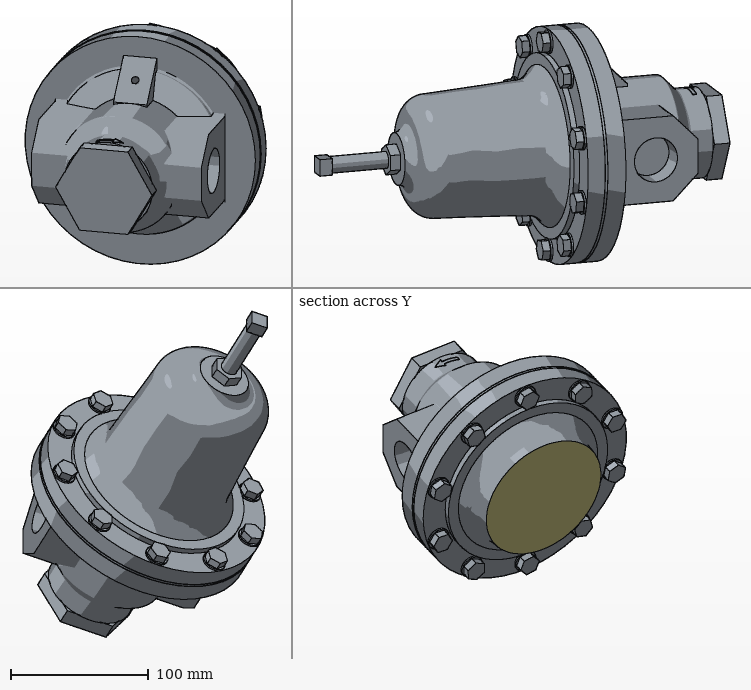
import cadquery as cq
import math


CAP_FLATS = 63.0
CAP_LENGTH = 12.0
NECK_RADIUS = 33.4
NECK_END = 29.2
NECK_FILLET = 2.2

ARROW_Y = 18.2
ARROW_TAIL_X = -10.4
ARROW_BARB_X = 2.5
ARROW_TIP_X = 9.6
ARROW_SHAFT_HALF = 1.5
ARROW_HEAD_HALF = 3.7
ARROW_DEPTH = 0.4

BODY_RADIUS = 44.5
SHOULDER_Y = NECK_END + BODY_RADIUS - NECK_RADIUS
SHOULDER_ROUND = 1.5
BASE_RADIUS = 63.0
BASE_EDGE_Y = 93.6
BASE_CONE_Y = 86.8
BASE_EDGE_ROUND = 1.5
FOOT_FILLET = 1.6

BLOCK_HALF_LENGTH = 64.0
BLOCK_HALF_HEIGHT = 32.0
BLOCK_FRONT_Y = 34.3
BLOCK_CHAMFER = 19.0
BLOCK_EDGE_ROUND = 1.5
BLOCK_JOINT_FILLET = 1.2
PORT_Y = 66.5
PORT_DIAMETER = 33.0
PORT_DEPTH = 17.3
PORT_TAPER = 1.79

LUG_WIDTH = 25.2
LUG_TOP_Z = 71.5
LUG_SLOPE = 27.0
LUG_HOLE_DIAMETER = 5.6
LUG_HOLE_DEPTH = 10.0
LUG_HOLE_Z = LUG_TOP_Z - LUG_SLOPE / 2

FLANGE_RADIUS = 173.69 / 2
FLANGE_FRONT_Y = 97.4
BODY_FLANGE_THICKNESS = 13.8
DIAPHRAGM_THICKNESS = 2.0
DIAPHRAGM_INSET = 0.3
BONNET_FLANGE_THICKNESS = 13.2
DIAPHRAGM_Y = FLANGE_FRONT_Y + BODY_FLANGE_THICKNESS
BONNET_FLANGE_Y = DIAPHRAGM_Y + DIAPHRAGM_THICKNESS
FLANGE_BACK_Y = BONNET_FLANGE_Y + BONNET_FLANGE_THICKNESS

BOLT_COUNT = 10
BOLT_CIRCLE_RADIUS = 78.0
BOLT_HEAD_CORNERS = 16.0
BOLT_HEAD_TURN = 22.0
BOLT_HEAD_HEIGHT = 5.8
WASHER_RADIUS = 8.6
WASHER_THICKNESS = 1.4

RIM_RADIUS = 68.0
RIM_TOP_Y = FLANGE_BACK_Y + 4.4
FLARE_RADIUS = 59.5
BARREL_BOTTOM_RADIUS = 49.6
BARREL_BOTTOM_Y = 145.5
BARREL_TOP_RADIUS = 45.5
BARREL_TOP_Y = 218.2
CROWN_Y = 235.0
CROWN_ROUND = CROWN_Y - BARREL_TOP_Y
NIPPLE_RADIUS = 19.3
NIPPLE_TOP_Y = 243.7

LOCKNUT_FLATS = 19.6
LOCKNUT_END_Y = 251.7
SCREW_DIAMETER = 12.4
SCREW_SQUARE_LENGTH = 9.6
TOTAL_LENGTH = 304.48


def section(y):
    """Workplane across the axis at height y; extruding goes toward +Y, local (x, y) is (X, -Z)."""
    return cq.Workplane(cq.Plane(origin=(0, y, 0), xDir=(1, 0, 0), normal=(0, 1, 0)))


def disc(radius, y, thickness):
    return section(y).circle(radius).extrude(thickness)


def spin(profile):
    """Revolve an (X, Y) half profile around the Y axis."""
    return profile.close().revolve(360, (0, 0, 0), (0, 1, 0))


def ring_at(y):
    """Selector for the circular edge centered on the axis at height y."""
    reach = 0.5
    return cq.selectors.BoxSelector((-reach, y - reach, -reach), (reach, y + reach, reach))


def quarter_mid(center_x, center_y, radius, sign_x, sign_y):
    """Middle point of a quarter arc lying toward the given signs from its center."""
    reach = radius * math.sqrt(0.5)
    return (center_x + sign_x * reach, center_y + sign_y * reach)


def corners_across(flats):
    return flats / math.cos(math.radians(30))


def make_cap():
    return section(0).polygon(6, corners_across(CAP_FLATS)).extrude(CAP_LENGTH)


def make_neck_and_body():
    profile = (
        cq.Workplane("XY")
        .moveTo(0, CAP_LENGTH)
        .lineTo(NECK_RADIUS, CAP_LENGTH)
        .lineTo(NECK_RADIUS, NECK_END)
        .lineTo(BODY_RADIUS, SHOULDER_Y)
        .lineTo(BODY_RADIUS, FLANGE_FRONT_Y)
        .lineTo(0, FLANGE_FRONT_Y)
    )
    body = spin(profile)
    body = body.edges(ring_at(SHOULDER_Y)).fillet(SHOULDER_ROUND)
    return body.edges(ring_at(NECK_END)).fillet(NECK_FILLET)


def make_base():
    foot_y = FLANGE_FRONT_Y - FOOT_FILLET
    foot_radius = BASE_RADIUS + FOOT_FILLET
    profile = (
        cq.Workplane("XY")
        .moveTo(0, BASE_CONE_Y)
        .lineTo(BODY_RADIUS, BASE_CONE_Y)
        .lineTo(BASE_RADIUS, BASE_EDGE_Y)
        .lineTo(BASE_RADIUS, foot_y)
        .threePointArc(
            quarter_mid(foot_radius, foot_y, FOOT_FILLET, -1, 1),
            (foot_radius, FLANGE_FRONT_Y),
        )
        .lineTo(0, FLANGE_FRONT_Y)
    )
    return spin(profile).edges(ring_at(BASE_EDGE_Y)).fillet(BASE_EDGE_ROUND)


def make_port_block():
    front_half = BLOCK_HALF_HEIGHT - BLOCK_CHAMFER
    chamfer_y = BLOCK_FRONT_Y + BLOCK_CHAMFER
    foot_y = FLANGE_FRONT_Y - FOOT_FILLET
    foot_z = BLOCK_HALF_HEIGHT + FOOT_FILLET
    upper_mid = quarter_mid(foot_y, foot_z, FOOT_FILLET, 1, -1)
    lower_mid = (upper_mid[0], -upper_mid[1])
    block = (
        cq.Workplane("YZ")
        .moveTo(BLOCK_FRONT_Y, -front_half)
        .lineTo(BLOCK_FRONT_Y, front_half)
        .lineTo(chamfer_y, BLOCK_HALF_HEIGHT)
        .lineTo(foot_y, BLOCK_HALF_HEIGHT)
        .threePointArc(upper_mid, (FLANGE_FRONT_Y, foot_z))
        .lineTo(FLANGE_FRONT_Y, -foot_z)
        .threePointArc(lower_mid, (foot_y, -BLOCK_HALF_HEIGHT))
        .lineTo(chamfer_y, -BLOCK_HALF_HEIGHT)
        .close()
        .extrude(BLOCK_HALF_LENGTH, both=True)
    )
    chamfer_edges = cq.selectors.BoxSelector(
        (-1, BLOCK_FRONT_Y - 1, -foot_z), (1, chamfer_y + 1, foot_z)
    )
    return block.edges("|X").edges(chamfer_edges).fillet(BLOCK_EDGE_ROUND)


def make_valve_body():
    """Neck, round body and port block, with a fillet where the block meets the straight side of the body."""
    body = make_neck_and_body().union(make_port_block())
    inner_x = math.sqrt(BODY_RADIUS**2 - BLOCK_HALF_HEIGHT**2) - 1
    outer_x = BODY_RADIUS
    for near_x, far_x in ((-outer_x, -inner_x), (inner_x, outer_x)):
        joint = cq.selectors.BoxSelector(
            (near_x, SHOULDER_Y + SHOULDER_ROUND, -BODY_RADIUS), (far_x, FLANGE_FRONT_Y - 1, BODY_RADIUS)
        )
        body = body.edges(joint).fillet(BLOCK_JOINT_FILLET)
    return body


def make_port_hole(side):
    """Blind tapered port bore; side is -1 for the -X end and +1 for the +X end."""
    mouth = cq.Plane(
        origin=(side * BLOCK_HALF_LENGTH, PORT_Y, 0), xDir=(0, 1, 0), normal=(-side, 0, 0)
    )
    return cq.Workplane(mouth).circle(PORT_DIAMETER / 2).extrude(PORT_DEPTH, taper=PORT_TAPER)


def make_lug():
    tip_y = FLANGE_FRONT_Y - LUG_SLOPE
    return (
        cq.Workplane("YZ")
        .moveTo(FLANGE_FRONT_Y, 0)
        .lineTo(FLANGE_FRONT_Y, LUG_TOP_Z)
        .lineTo(tip_y, LUG_TOP_Z - LUG_SLOPE)
        .lineTo(tip_y, 0)
        .close()
        .extrude(LUG_WIDTH / 2, both=True)
    )


def make_lug_hole():
    hole_y = FLANGE_FRONT_Y - LUG_SLOPE / 2
    mouth = cq.Plane(origin=(0, hole_y, LUG_HOLE_Z), xDir=(1, 0, 0), normal=(0, 1, -1))
    return cq.Workplane(mouth).circle(LUG_HOLE_DIAMETER / 2).extrude(LUG_HOLE_DEPTH)


def make_flanges():
    body_flange = disc(FLANGE_RADIUS, FLANGE_FRONT_Y, BODY_FLANGE_THICKNESS)
    diaphragm = disc(FLANGE_RADIUS - DIAPHRAGM_INSET, DIAPHRAGM_Y, DIAPHRAGM_THICKNESS)
    bonnet_flange = disc(FLANGE_RADIUS, BONNET_FLANGE_Y, BONNET_FLANGE_THICKNESS)
    return body_flange.union(diaphragm).union(bonnet_flange)


def make_bonnet():
    crown_center_x = BARREL_TOP_RADIUS - CROWN_ROUND
    nipple_round = NIPPLE_TOP_Y - CROWN_Y
    nipple_center_x = NIPPLE_RADIUS + nipple_round
    barrel_lean = (BARREL_TOP_RADIUS - BARREL_BOTTOM_RADIUS, BARREL_TOP_Y - BARREL_BOTTOM_Y)
    down_barrel = (-barrel_lean[0], -barrel_lean[1])
    profile = (
        cq.Workplane("XY")
        .moveTo(0, NIPPLE_TOP_Y)
        .lineTo(NIPPLE_RADIUS, NIPPLE_TOP_Y)
        .threePointArc(
            quarter_mid(nipple_center_x, NIPPLE_TOP_Y, nipple_round, -1, -1),
            (nipple_center_x, CROWN_Y),
        )
        .lineTo(crown_center_x, CROWN_Y)
        .threePointArc(
            quarter_mid(crown_center_x, BARREL_TOP_Y, CROWN_ROUND, 1, 1),
            (BARREL_TOP_RADIUS, BARREL_TOP_Y),
        )
        .lineTo(BARREL_BOTTOM_RADIUS, BARREL_BOTTOM_Y)
        .spline([(FLARE_RADIUS, RIM_TOP_Y)], tangents=[down_barrel, (1, -1)], includeCurrent=True)
        .lineTo(RIM_RADIUS, RIM_TOP_Y)
        .lineTo(RIM_RADIUS, FLANGE_BACK_Y)
        .lineTo(0, FLANGE_BACK_Y)
    )
    return spin(profile)


def make_bolt():
    """Washer and hex head of the bolt at the top (+Z) of the bolt circle."""
    washer = disc(WASHER_RADIUS, FLANGE_BACK_Y, WASHER_THICKNESS)
    head = (
        section(FLANGE_BACK_Y + WASHER_THICKNESS)
        .transformed(rotate=(0, 0, 90 - BOLT_HEAD_TURN))
        .polygon(6, BOLT_HEAD_CORNERS)
        .extrude(BOLT_HEAD_HEIGHT)
    )
    return washer.union(head).translate((0, 0, BOLT_CIRCLE_RADIUS))


def make_adjusting_screw():
    locknut = (
        section(NIPPLE_TOP_Y)
        .transformed(rotate=(0, 0, 90))
        .polygon(6, corners_across(LOCKNUT_FLATS))
        .extrude(LOCKNUT_END_Y - NIPPLE_TOP_Y)
    )
    square_y = TOTAL_LENGTH - SCREW_SQUARE_LENGTH
    rod = disc(SCREW_DIAMETER / 2, LOCKNUT_END_Y, square_y - LOCKNUT_END_Y)
    square = section(square_y).rect(SCREW_DIAMETER, SCREW_DIAMETER).extrude(SCREW_SQUARE_LENGTH)
    return locknut.union(rod).union(square)


def make_arrow_cut():
    """Arrow-shaped piece of the outermost skin of the neck, pointing toward +X."""
    prism = (
        cq.Workplane("XY")
        .moveTo(ARROW_TAIL_X, ARROW_Y - ARROW_SHAFT_HALF)
        .lineTo(ARROW_BARB_X, ARROW_Y - ARROW_SHAFT_HALF)
        .lineTo(ARROW_BARB_X, ARROW_Y - ARROW_HEAD_HALF)
        .lineTo(ARROW_TIP_X, ARROW_Y)
        .lineTo(ARROW_BARB_X, ARROW_Y + ARROW_HEAD_HALF)
        .lineTo(ARROW_BARB_X, ARROW_Y + ARROW_SHAFT_HALF)
        .lineTo(ARROW_TAIL_X, ARROW_Y + ARROW_SHAFT_HALF)
        .close()
        .extrude(NECK_RADIUS + 1)
    )
    return prism.cut(disc(NECK_RADIUS - ARROW_DEPTH, CAP_LENGTH, NECK_END - CAP_LENGTH))


result = make_flanges().union(make_valve_body())
for piece in (make_cap(), make_base(), make_lug(), make_bonnet(), make_adjusting_screw()):
    result = result.union(piece)

bolt = make_bolt()
for index in range(BOLT_COUNT):
    turn = index * 360 / BOLT_COUNT
    result = result.union(bolt.rotate((0, 0, 0), (0, 1, 0), turn))

for side in (-1, 1):
    result = result.cut(make_port_hole(side))
result = result.cut(make_lug_hole()).cut(make_arrow_cut())